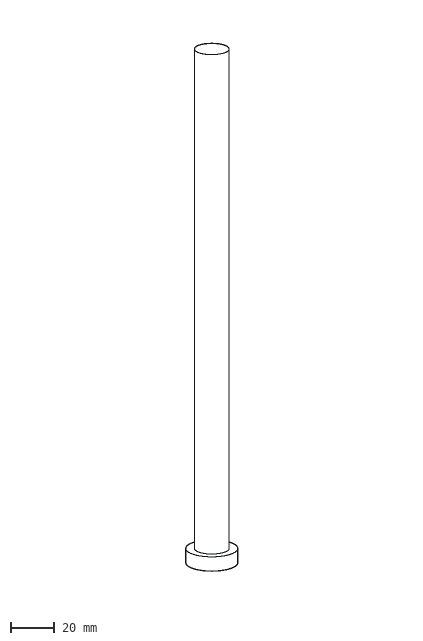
import cadquery as cq

total_length = 250.0
head_diameter = 24.0
head_height = 7.0
shaft_diameter = 16.0


def make_head():
    """Flat cylindrical head, standing on the XY plane."""
    return cq.Workplane("XY").circle(head_diameter / 2).extrude(head_height)


def make_shaft():
    """Plain round shaft running the full length along Z."""
    return cq.Workplane("XY").circle(shaft_diameter / 2).extrude(total_length)


result = make_head().union(make_shaft())